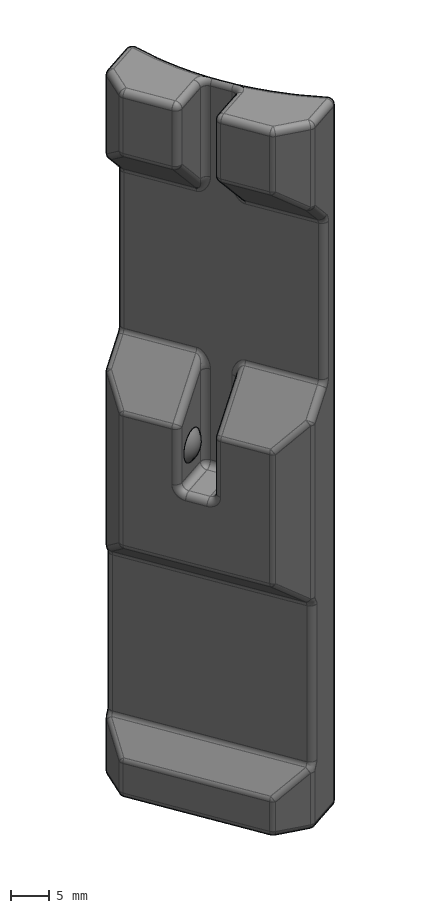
import cadquery as cq
import math

LENGTH = 110.0
WIDTH = 30.0
SPINE_THICKNESS = 8.6
BACK_RADIUS = 40.9
FRONT_FACE_WIDTH = 22.0
FRONT_CHAMFER = (WIDTH - FRONT_FACE_WIDTH) / 2
EDGE_RADIUS = 1.0
ROUGH_DEPTH = 16.5

UPPER_RECESS_DEPTH = 7.5
UPPER_FLOOR_BOTTOM = 67.4
LOWER_RECESS_DEPTH = FRONT_CHAMFER
LOWER_FLOOR_BOTTOM = 10.0
RECESS_FLOOR_LENGTH = 25.1

SLOT_WIDTH = 5.1
SLOT_BOTTOM = 49.9

BUMP_Z = LENGTH / 2
BUMP_DEPTH = 4.0
BUMP_RADIUS = 2.4
BUMP_HEIGHT = 1.0


def recess(floor_bottom, depth):
    floor_top = floor_bottom + RECESS_FLOOR_LENGTH
    return (
        cq.Workplane("YZ")
        .polyline([
            (0, floor_bottom - depth),
            (depth, floor_bottom),
            (depth, floor_top),
            (0, floor_top + depth),
        ])
        .close()
        .extrude(WIDTH, both=True)
    )


def slot():
    cutter = cq.Workplane("XY").box(
        SLOT_WIDTH, UPPER_RECESS_DEPTH, LENGTH - SLOT_BOTTOM, centered=(True, False, False)
    )
    return cutter.translate((0, 0, SLOT_BOTTOM))


def front_form():
    """Chamfered, recessed and slotted front, every edge rounded except around its flat rear face."""
    block = cq.Workplane("XY").box(WIDTH, ROUGH_DEPTH, LENGTH, centered=(True, False, False))
    block = block.faces("<Y").edges("|Z").chamfer(FRONT_CHAMFER)
    block = block.cut(recess(UPPER_FLOOR_BOTTOM, UPPER_RECESS_DEPTH))
    block = block.cut(recess(LOWER_FLOOR_BOTTOM, LOWER_RECESS_DEPTH))
    block = block.cut(slot())
    rear_edges = cq.selectors.BoxSelector(
        (-WIDTH, ROUGH_DEPTH - EDGE_RADIUS, -LENGTH), (WIDTH, ROUGH_DEPTH + EDGE_RADIUS, 2 * LENGTH)
    )
    return block.edges(cq.selectors.InverseSelector(rear_edges)).fillet(EDGE_RADIUS)


def back_form():
    """Block with the concave back, every edge rounded, reaching forward past the front face."""
    half = WIDTH / 2
    sagitta = BACK_RADIUS - math.sqrt(BACK_RADIUS**2 - half**2)
    tip = SPINE_THICKNESS + sagitta
    return (
        cq.Workplane("XY")
        .moveTo(-half, -ROUGH_DEPTH)
        .lineTo(half, -ROUGH_DEPTH)
        .lineTo(half, tip)
        .threePointArc((0, SPINE_THICKNESS), (-half, tip))
        .close()
        .extrude(LENGTH)
        .edges()
        .fillet(EDGE_RADIUS)
    )


def snap_bumps():
    """Pair of spherical caps standing out of the slot walls, each rooted inside its wall."""
    wall_x = SLOT_WIDTH / 2
    sphere_radius = (BUMP_RADIUS**2 + BUMP_HEIGHT**2) / (2 * BUMP_HEIGHT)
    center_x = wall_x - BUMP_HEIGHT + sphere_radius
    ball = cq.Workplane("XY").sphere(sphere_radius).translate((center_x, BUMP_DEPTH, BUMP_Z))
    root = cq.Workplane("XY").box(2 * BUMP_HEIGHT, 3 * BUMP_RADIUS, 3 * BUMP_RADIUS)
    right = ball.intersect(root.translate((wall_x, BUMP_DEPTH, BUMP_Z)))
    left = right.mirror("YZ")
    return right, left


result = front_form().intersect(back_form())
for bump in snap_bumps():
    result = result.union(bump)